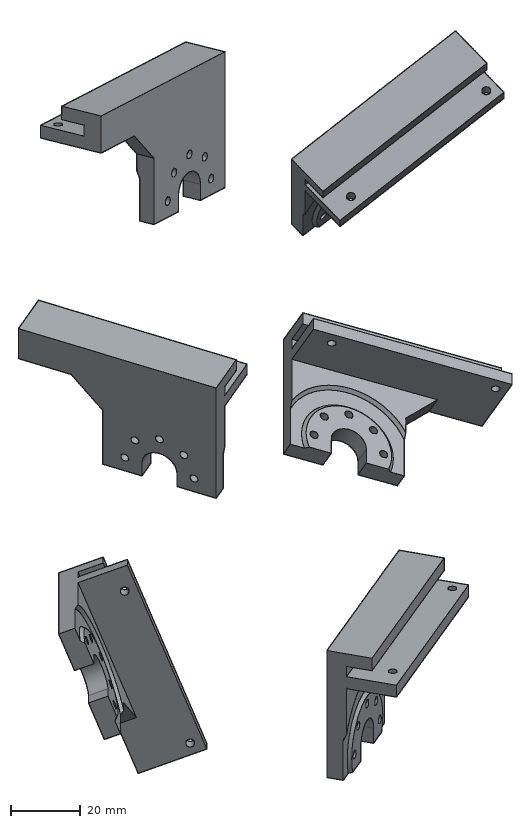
import cadquery as cq
import math

length = 62.75
width = 21.3
height = 42.0
wall_thickness = 6.0
upper_flange_width = 13.8
upper_flange_thickness = 4.15
slot_height = 3.4
lower_flange_thickness = 3.95

plate_width = 36.0
gusset_leg = 10.0
bore_height = 5.0
bore_diameter = 11.05

groove_depth = 1.0
groove_outer_radius = 20.7
groove_inner_radius = 13.5

hole_diameter = 2.5
bolt_circle_radius = 11.0
bolt_angles = (0, 45, 90, 135, 180)
flange_hole_inset = 3.75
flange_hole_places = (3.5, length - 7.45)

wall_x = width - wall_thickness
slot_top = height - upper_flange_thickness
slot_bottom = slot_top - slot_height
flange_bottom = slot_bottom - lower_flange_thickness
plate_start = length - plate_width
bore_y = length - plate_width / 2


def make_channel():
    """C-shaped clamp with a long lower flange and a short upper one."""
    outline = [
        (0, flange_bottom),
        (width, flange_bottom),
        (width, height),
        (width - upper_flange_width, height),
        (width - upper_flange_width, slot_top),
        (wall_x, slot_top),
        (wall_x, slot_bottom),
        (0, slot_bottom),
    ]
    return cq.Workplane("XZ").polyline(outline).close().extrude(-length)


def make_plate():
    """Vertical plate with a sloped gusset under the channel."""
    outline = [
        (plate_start, 0),
        (length, 0),
        (length, flange_bottom),
        (plate_start - gusset_leg, flange_bottom),
        (plate_start, flange_bottom - gusset_leg),
    ]
    return cq.Workplane("YZ", origin=(wall_x, 0, 0)).polyline(outline).close().extrude(wall_thickness)


def make_cone(face_radius, floor_radius):
    """Cone frustum reaching from the plate face to the groove floor."""
    return cq.Workplane(
        cq.Solid.makeCone(
            face_radius,
            floor_radius,
            groove_depth,
            pnt=cq.Vector(wall_x, bore_y, bore_height),
            dir=cq.Vector(1, 0, 0),
        )
    )


def make_groove():
    """Ring groove that narrows toward its floor on both flanks."""
    outer = make_cone(groove_outer_radius, groove_outer_radius - groove_depth)
    inner = make_cone(groove_inner_radius, groove_inner_radius + groove_depth)
    return outer.cut(inner)


def make_bore():
    """Round bore opened downward through the bottom edge of the plate."""
    plane = cq.Workplane("YZ", origin=(wall_x, bore_y, 0))
    bore = plane.center(0, bore_height).circle(bore_diameter / 2).extrude(wall_thickness)
    opening = plane.center(0, bore_height / 2).rect(bore_diameter, bore_height).extrude(wall_thickness)
    return bore.union(opening)


def make_bolt_holes():
    """Screw holes on the upper half of a circle around the bore."""
    places = [
        (
            bolt_circle_radius * math.cos(math.radians(angle)),
            bolt_circle_radius * math.sin(math.radians(angle)),
        )
        for angle in bolt_angles
    ]
    plane = cq.Workplane("YZ", origin=(wall_x, bore_y, bore_height))
    return plane.pushPoints(places).circle(hole_diameter / 2).extrude(wall_thickness)


def make_flange_holes():
    """Vertical screw holes along the free edge of the lower flange."""
    places = [(flange_hole_inset, y) for y in flange_hole_places]
    plane = cq.Workplane("XY", origin=(0, 0, flange_bottom))
    return plane.pushPoints(places).circle(hole_diameter / 2).extrude(lower_flange_thickness)


result = make_channel().union(make_plate())
result = result.cut(make_groove())
result = result.cut(make_bore())
result = result.cut(make_bolt_holes())
result = result.cut(make_flange_holes())